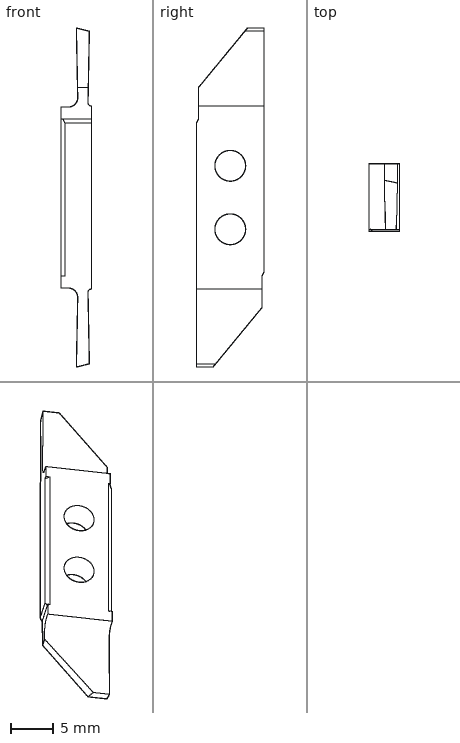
import cadquery as cq
import math

thickness = 3.6
width = 8.0
length = 40.0
half_thickness = thickness / 2
half_width = width / 2
half_length = length / 2

front_shoulder_z = 10.7
back_shoulder_z = 10.8
front_fillet = 1.1
back_fillet = 0.35
blade_root_front_x = 0.15
blade_root_back_x = 1.4
blade_tip_front_x = 0.0
blade_tip_back_x = 1.55
tip_drop = 0.4

side_relief = 0.25
relief_end_z = 9.25
relief_ramp = 0.5
tip_width = 1.95
blade_slope_start_z = 12.95

edge_chamfer = 0.5
hole_diameter = 3.6
hole_spacing = 7.5


def make_section():
    """Stepped section with a tapered blade at each end, across the full width."""
    arc_mid = 1 - math.sqrt(0.5)
    front_z = front_shoulder_z + front_fillet
    back_z = back_shoulder_z + back_fillet
    front_arc_x = blade_root_front_x - front_fillet
    back_arc_x = blade_root_back_x + back_fillet
    front_mid = (
        blade_root_front_x - front_fillet * arc_mid,
        front_shoulder_z + front_fillet * arc_mid,
    )
    back_mid = (
        blade_root_back_x + back_fillet * arc_mid,
        back_shoulder_z + back_fillet * arc_mid,
    )
    upper_half = (
        cq.Workplane("XZ")
        .moveTo(-half_thickness, 0)
        .lineTo(-half_thickness, front_shoulder_z)
        .lineTo(front_arc_x, front_shoulder_z)
        .threePointArc(front_mid, (blade_root_front_x, front_z))
        .lineTo(blade_tip_front_x, half_length)
        .lineTo(blade_tip_back_x, half_length - tip_drop)
        .lineTo(blade_root_back_x, back_z)
        .threePointArc(back_mid, (back_arc_x, back_shoulder_z))
        .lineTo(half_thickness, back_shoulder_z)
        .lineTo(half_thickness, 0)
        .close()
        .extrude(half_width, both=True)
    )
    return upper_half.union(upper_half.mirror("XY"))


def make_outline():
    """Side outline; its second half is the first turned half a turn about X."""
    relieved_y = half_width - side_relief
    half_outline = [
        (-half_width, relief_end_z - relief_ramp),
        (-relieved_y, relief_end_z),
        (-relieved_y, blade_slope_start_z),
        (half_width - tip_width, half_length),
        (half_width, half_length),
    ]
    other_half = [(-y, -z) for y, z in half_outline]
    return (
        cq.Workplane("YZ")
        .polyline(half_outline + other_half)
        .close()
        .extrude(half_thickness, both=True)
    )


def make_chamfer_cut(side):
    """Prism that bevels one long front edge; side is the sign of its Y position."""
    return (
        cq.Workplane("XY")
        .workplane(offset=-relief_end_z)
        .polyline([
            (-half_thickness, side * half_width),
            (-half_thickness + edge_chamfer, side * half_width),
            (-half_thickness, side * (half_width - edge_chamfer)),
        ])
        .close()
        .extrude(2 * relief_end_z)
    )


def make_holes():
    """Pair of through holes along X."""
    return (
        cq.Workplane("YZ")
        .workplane(offset=-half_thickness)
        .pushPoints([(0, -hole_spacing / 2), (0, hole_spacing / 2)])
        .circle(hole_diameter / 2)
        .extrude(thickness)
    )


result = make_section().intersect(make_outline())
for side in (-1, 1):
    result = result.cut(make_chamfer_cut(side))
result = result.cut(make_holes())